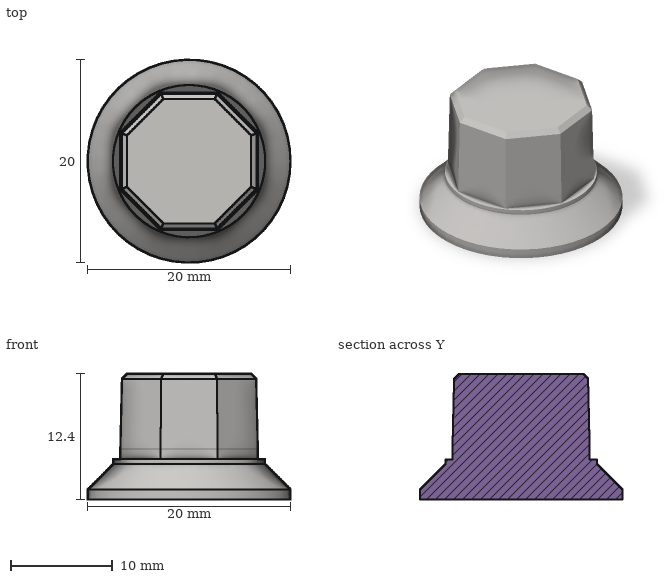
import cadquery as cq
import math

base_diameter = 20.0
collar_diameter = 15.0
rim_height = 1.0
cone_height = (base_diameter - collar_diameter) / 2
collar_height = 0.5

total_height = 12.4
side_count = 8
foot_width = 13.55
foot_height = 1.0
body_top_width = 13.25
chamfer = 0.5

collar_top = rim_height + cone_height + collar_height
foot_top = collar_top + foot_height
body_top = total_height - chamfer


def octagon(width, z):
    """Octagon of the given width across flats, with flats facing X and Y."""
    half_angle = math.pi / side_count
    corner_radius = width / 2 / math.cos(half_angle)
    corner_angles = [half_angle * (2 * i + 1) for i in range(side_count)]
    corners = [
        (corner_radius * math.cos(angle), corner_radius * math.sin(angle))
        for angle in corner_angles
    ]
    return cq.Workplane("XY").workplane(offset=z).polyline(corners).close()


def octagonal_frustum(lower_width, upper_width, z_low, z_high):
    """Ruled octagonal block between two levels."""
    lower = octagon(lower_width, z_low).wires().val()
    upper = octagon(upper_width, z_high).wires().val()
    return cq.Workplane(cq.Solid.makeLoft([lower, upper], True))


def make_base():
    base_radius = base_diameter / 2
    collar_radius = collar_diameter / 2
    return (
        cq.Workplane("XZ")
        .lineTo(base_radius, 0)
        .lineTo(base_radius, rim_height)
        .lineTo(collar_radius, rim_height + cone_height)
        .lineTo(collar_radius, collar_top)
        .lineTo(0, collar_top)
        .close()
        .revolve(360, (0, 0), (0, 1))
    )


def make_cap():
    top_width = body_top_width - 2 * chamfer
    foot = octagon(foot_width, collar_top).extrude(foot_height)
    body = octagonal_frustum(foot_width, body_top_width, foot_top, body_top)
    crown = octagonal_frustum(body_top_width, top_width, body_top, total_height)
    return foot.union(body).union(crown)


result = make_base().union(make_cap())